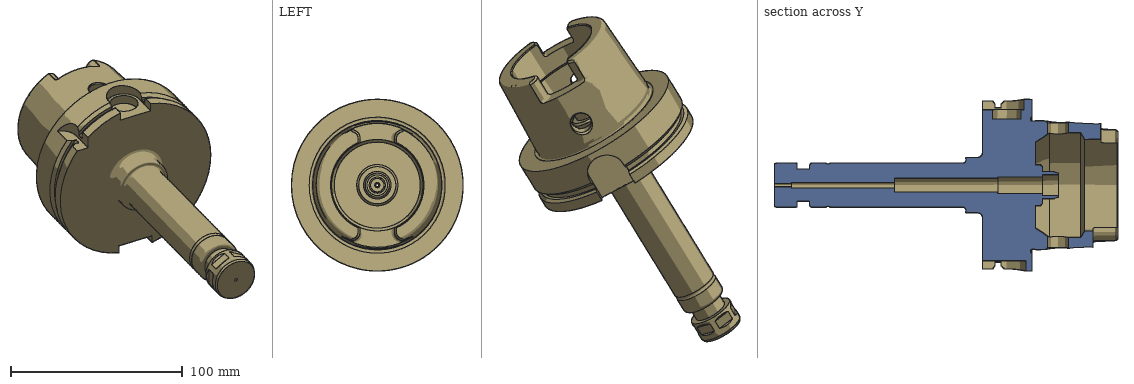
import cadquery as cq
import math


OVERALL_LENGTH = 200.0

SHANK_LENGTH = 50.0
SHANK_BASE_RADIUS = 37.8
TAPER_SLOPE = 0.045
SHANK_END_RADIUS = SHANK_BASE_RADIUS - TAPER_SLOPE * SHANK_LENGTH
SHANK_END_ROUND = 2.0
UNDERCUT_START = -3.0
UNDERCUT_STEP = -1.8
UNDERCUT_NECK = -1.2
UNDERCUT_RADIUS = 37.5
RELIEF_RADIUS = 39.5
RELIEF_DEPTH = 0.8

FLANGE_RADIUS = 50.0
FLANGE_WIDTH = 29.0
GROOVE_START = 16.5
GROOVE_FLOOR_START = 18.2
GROOVE_FLOOR_END = 21.5
GROOVE_END = 22.8
GROOVE_FLOOR_RADIUS = 46.2
GROOVE_FLANK_RADIUS = 48.0

COLLAR_RADIUS = 16.2
COLLAR_END = 38.8
COLLAR_ROOT_FILLET = 2.8
COLLAR_EDGE_ROUND = 0.8
SLEEVE_RADIUS = 13.0
SLEEVE_ROOT_FILLET = 1.2
SLEEVE_END = 129.5
SLEEVE_END_ROUND = 1.8
MARK_START = 117.5
MARK_WIDTH = 2.5
MARK_DEPTH = 0.5

NECK_DIAMETER = 19.0
NUT_START = 136.8
NUT_END = OVERALL_LENGTH - SHANK_LENGTH
NUT_RADIUS = 13.0
NUT_REAR_LENGTH = 1.2
NUT_REAR_DEPTH = 0.2
NUT_FRONT_CHAMFER_LENGTH = 1.5
NUT_FRONT_CHAMFER_DEPTH = 0.5
FLAT_COUNT = 6
FLAT_APOTHEM = 12.0
FLAT_START = 139.5
FLAT_END = 144.5
FLAT_REAR_RUNOUT = 1.2
FLAT_FRONT_RUNOUT = 0.8

BORE_RADIUS = 26.5
BORE_CHAMFER = 0.5
CLAMP_RECESS_START = -30.5
CLAMP_RECESS_RADIUS = 30.5
CLAMP_RECESS_END = -10.0
CLAMP_FACE_ANGLE = math.radians(60)
BORE_FLOOR = -2.0
BORE_FLOOR_RADIUS = 25.0
TUBE_NUT_RADIUS = 12.0
TUBE_NUT_START = -6.0
TUBE_NUT_CHAMFER = 1.2
TUBE_RADIUS = 8.0
TUBE_TIP_RADIUS = 7.0
TUBE_START = -15.5
TUBE_LEAD_LENGTH = 3.0
COOLANT_STEPS = [(12.0, -6.0), (9.5, 20.0), (7.8, 80.0), (3.0, 140.0), (1.7, NUT_END)]

DRIVE_HALF_WIDTH = 10.0
DRIVE_EDGE_RADIUS = 4.8
DRIVE_EDGE_TOP = 32.2
DRIVE_DEPTH_TOP = 10.0
DRIVE_DEPTH_BOTTOM = 14.5
DRIVE_FLOOR_FILLET = 1.5
DRIVE_MOUTH_CHAMFER = 1.2

RADIAL_HOLE_DIAMETER = 12.0
RADIAL_HOLE_X = -15.0
COUNTERSINK_BASE = 36.2

KEYWAY_CENTER_X = 14.8
KEYWAY_TOP_WIDTH = 20.0
KEYWAY_BOTTOM_WIDTH = 22.0
KEYWAY_FLOOR = 44.0
CHIP_HOLE_DIAMETER = 16.5
CHIP_HOLE_DEPTH = 5.5
NOTCH_CORNER = 31.5
NOTCH_CUTTER_RADIUS = 10.0

CLEARANCE = 4.0


def revolve_about_x(profile):
    return profile.close().revolve(360, (0, 0, 0), (1, 0, 0))


def cylinder_along_z(x, radius, bottom, top):
    return cq.Workplane("XY", origin=(x, 0, bottom)).circle(radius).extrude(top - bottom)


def outer_body():
    """Turned outside of the holder, from the shank end to the nut."""
    taper_end_radius = SHANK_BASE_RADIUS + TAPER_SLOPE * UNDERCUT_START
    profile = (
        cq.Workplane("XY")
        .moveTo(-SHANK_LENGTH, 0)
        .lineTo(-SHANK_LENGTH, SHANK_END_RADIUS - SHANK_END_ROUND)
        .radiusArc((-SHANK_LENGTH + SHANK_END_ROUND, SHANK_END_RADIUS), SHANK_END_ROUND)
        .lineTo(UNDERCUT_START, taper_end_radius)
        .lineTo(UNDERCUT_STEP, (taper_end_radius + UNDERCUT_RADIUS) / 2)
        .lineTo(UNDERCUT_NECK, UNDERCUT_RADIUS)
        .lineTo(0, UNDERCUT_RADIUS)
        .radiusArc((RELIEF_DEPTH, UNDERCUT_RADIUS + RELIEF_DEPTH), -RELIEF_DEPTH)
        .lineTo(RELIEF_DEPTH, RELIEF_RADIUS - RELIEF_DEPTH)
        .radiusArc((0, RELIEF_RADIUS), -RELIEF_DEPTH)
        .lineTo(0, FLANGE_RADIUS)
        .lineTo(GROOVE_START, FLANGE_RADIUS)
        .lineTo(GROOVE_FLOOR_START, GROOVE_FLANK_RADIUS)
        .lineTo(GROOVE_FLOOR_START, GROOVE_FLOOR_RADIUS)
        .lineTo(GROOVE_FLOOR_END, GROOVE_FLOOR_RADIUS)
        .lineTo(GROOVE_FLOOR_END, GROOVE_FLANK_RADIUS)
        .lineTo(GROOVE_END, FLANGE_RADIUS)
        .lineTo(FLANGE_WIDTH, FLANGE_RADIUS)
        .lineTo(FLANGE_WIDTH, COLLAR_RADIUS + COLLAR_ROOT_FILLET)
        .radiusArc((FLANGE_WIDTH + COLLAR_ROOT_FILLET, COLLAR_RADIUS), -COLLAR_ROOT_FILLET)
        .lineTo(COLLAR_END - COLLAR_EDGE_ROUND, COLLAR_RADIUS)
        .radiusArc((COLLAR_END, COLLAR_RADIUS - COLLAR_EDGE_ROUND), COLLAR_EDGE_ROUND)
        .lineTo(COLLAR_END, SLEEVE_RADIUS + SLEEVE_ROOT_FILLET)
        .radiusArc((COLLAR_END + SLEEVE_ROOT_FILLET, SLEEVE_RADIUS), -SLEEVE_ROOT_FILLET)
        .lineTo(MARK_START, SLEEVE_RADIUS)
        .threePointArc(
            (MARK_START + MARK_WIDTH / 2, SLEEVE_RADIUS - MARK_DEPTH),
            (MARK_START + MARK_WIDTH, SLEEVE_RADIUS),
        )
        .lineTo(SLEEVE_END - SLEEVE_END_ROUND, SLEEVE_RADIUS)
        .radiusArc((SLEEVE_END, SLEEVE_RADIUS - SLEEVE_END_ROUND), SLEEVE_END_ROUND)
        .lineTo(SLEEVE_END, NECK_DIAMETER / 2)
        .lineTo(NUT_START, NECK_DIAMETER / 2)
        .lineTo(NUT_START, NUT_RADIUS - NUT_REAR_DEPTH)
        .lineTo(NUT_START + NUT_REAR_LENGTH, NUT_RADIUS)
        .lineTo(NUT_END - NUT_FRONT_CHAMFER_LENGTH, NUT_RADIUS)
        .lineTo(NUT_END, NUT_RADIUS - NUT_FRONT_CHAMFER_DEPTH)
        .lineTo(NUT_END, 0)
    )
    return revolve_about_x(profile)


def shank_bore():
    """Space inside the shank around the coolant tube and its nut."""
    recess_slope_length = (CLAMP_RECESS_RADIUS - BORE_RADIUS) / math.tan(CLAMP_FACE_ANGLE)
    profile = (
        cq.Workplane("XY")
        .moveTo(-SHANK_LENGTH, 0)
        .lineTo(-SHANK_LENGTH, BORE_RADIUS + BORE_CHAMFER)
        .lineTo(-SHANK_LENGTH + BORE_CHAMFER, BORE_RADIUS)
        .lineTo(CLAMP_RECESS_START, BORE_RADIUS)
        .lineTo(CLAMP_RECESS_START + recess_slope_length, CLAMP_RECESS_RADIUS)
        .lineTo(CLAMP_RECESS_END, CLAMP_RECESS_RADIUS)
        .lineTo(BORE_FLOOR, BORE_FLOOR_RADIUS)
        .lineTo(BORE_FLOOR, TUBE_NUT_RADIUS)
        .lineTo(TUBE_NUT_START + TUBE_NUT_CHAMFER, TUBE_NUT_RADIUS)
        .lineTo(TUBE_NUT_START, TUBE_NUT_RADIUS - TUBE_NUT_CHAMFER)
        .lineTo(TUBE_NUT_START, TUBE_RADIUS)
        .lineTo(TUBE_START + TUBE_LEAD_LENGTH, TUBE_RADIUS)
        .lineTo(TUBE_START, TUBE_TIP_RADIUS)
        .lineTo(TUBE_START, 0)
    )
    return revolve_about_x(profile)


def coolant_passage():
    """Stepped passage from the tube tip to the nut face."""
    profile = cq.Workplane("XY").moveTo(TUBE_START, 0)
    start = TUBE_START
    for diameter, end in COOLANT_STEPS:
        profile = profile.lineTo(start, diameter / 2).lineTo(end, diameter / 2)
        start = end
    return revolve_about_x(profile.lineTo(start, 0))


def drive_slot(depth):
    """Cutter for one drive slot on the +Z side, with rounded outer edges and a filleted floor."""
    half_width = DRIVE_HALF_WIDTH
    outer_half_width = half_width + DRIVE_EDGE_RADIUS
    straight_top = DRIVE_EDGE_TOP - DRIVE_EDGE_RADIUS
    top = SHANK_END_RADIUS + CLEARANCE
    bottom = BORE_RADIUS / 2

    def outline(x):
        return (
            cq.Workplane("YZ", origin=(x, 0, 0))
            .moveTo(-half_width, bottom)
            .lineTo(half_width, bottom)
            .lineTo(half_width, straight_top)
            .radiusArc((outer_half_width, DRIVE_EDGE_TOP), DRIVE_EDGE_RADIUS)
            .lineTo(outer_half_width, top)
            .lineTo(-outer_half_width, top)
            .lineTo(-outer_half_width, DRIVE_EDGE_TOP)
            .radiusArc((-half_width, straight_top), DRIVE_EDGE_RADIUS)
            .close()
        )

    slot = outline(-SHANK_LENGTH).extrude(depth).faces(">X").edges().fillet(DRIVE_FLOOR_FILLET)
    mouth = outline(-SHANK_LENGTH + DRIVE_MOUTH_CHAMFER).extrude(-DRIVE_MOUTH_CHAMFER, taper=-45)
    return slot.union(mouth)


def radial_hole():
    """Cutter for the countersunk hole through the shank wall on the +Z side."""
    radius = RADIAL_HOLE_DIAMETER / 2
    bore = cylinder_along_z(RADIAL_HOLE_X, radius, BORE_RADIUS - CLEARANCE, COUNTERSINK_BASE)
    countersink = (
        cq.Workplane("XY", origin=(RADIAL_HOLE_X, 0, COUNTERSINK_BASE))
        .circle(radius)
        .extrude(CLEARANCE, taper=-45)
    )
    return bore.union(countersink)


def keyway(width):
    """Cutter for a round-ended keyway on the +Z side, open at the back of the flange."""
    height = FLANGE_RADIUS + CLEARANCE - KEYWAY_FLOOR
    length = FLANGE_WIDTH - KEYWAY_CENTER_X
    straight = (
        cq.Workplane("XY", origin=(KEYWAY_CENTER_X + length / 2, 0, KEYWAY_FLOOR))
        .rect(length, width)
        .extrude(height)
    )
    return straight.union(
        cylinder_along_z(KEYWAY_CENTER_X, width / 2, KEYWAY_FLOOR, FLANGE_RADIUS + CLEARANCE)
    )


def index_notch():
    """Cutter for the square-cornered notch at -Y +Z, milled with a tool held along Z."""
    far = NOTCH_CORNER + 2 * NOTCH_CUTTER_RADIUS
    center_y = -NOTCH_CORNER - NOTCH_CUTTER_RADIUS
    return (
        cq.Workplane("XY", origin=(0, 0, NOTCH_CORNER))
        .moveTo(FLANGE_WIDTH, -NOTCH_CORNER)
        .lineTo(KEYWAY_CENTER_X, -NOTCH_CORNER)
        .radiusArc((KEYWAY_CENTER_X - NOTCH_CUTTER_RADIUS, center_y), -NOTCH_CUTTER_RADIUS)
        .lineTo(KEYWAY_CENTER_X - NOTCH_CUTTER_RADIUS, -far)
        .lineTo(FLANGE_WIDTH, -far)
        .close()
        .extrude(FLANGE_RADIUS - NOTCH_CORNER)
    )


def nut_flats():
    """Wrench flats with sloped ends, one facing each Y side."""
    outer = NUT_RADIUS + CLEARANCE
    rise = outer - FLAT_APOTHEM
    sagitta = NUT_RADIUS - FLAT_APOTHEM
    flat = (
        cq.Workplane("XY")
        .moveTo(FLAT_START, FLAT_APOTHEM)
        .lineTo(FLAT_END, FLAT_APOTHEM)
        .lineTo(FLAT_END + FLAT_FRONT_RUNOUT * rise / sagitta, outer)
        .lineTo(FLAT_START - FLAT_REAR_RUNOUT * rise / sagitta, outer)
        .close()
        .extrude(NUT_RADIUS, both=True)
    )
    flats = flat
    for index in range(1, FLAT_COUNT):
        flats = flats.union(flat.rotate((0, 0, 0), (1, 0, 0), index * 360 / FLAT_COUNT))
    return flats


def to_bottom(cutter):
    return cutter.rotate((0, 0, 0), (1, 0, 0), 180)


chip_hole = cylinder_along_z(
    KEYWAY_CENTER_X, CHIP_HOLE_DIAMETER / 2, KEYWAY_FLOOR - CHIP_HOLE_DEPTH, FLANGE_RADIUS
)

result = (
    outer_body()
    .cut(shank_bore())
    .cut(coolant_passage())
    .cut(drive_slot(DRIVE_DEPTH_TOP))
    .cut(to_bottom(drive_slot(DRIVE_DEPTH_BOTTOM)))
    .cut(radial_hole())
    .cut(to_bottom(radial_hole()))
    .cut(keyway(KEYWAY_TOP_WIDTH))
    .cut(to_bottom(keyway(KEYWAY_BOTTOM_WIDTH)))
    .cut(chip_hole)
    .cut(index_notch())
    .cut(nut_flats())
)